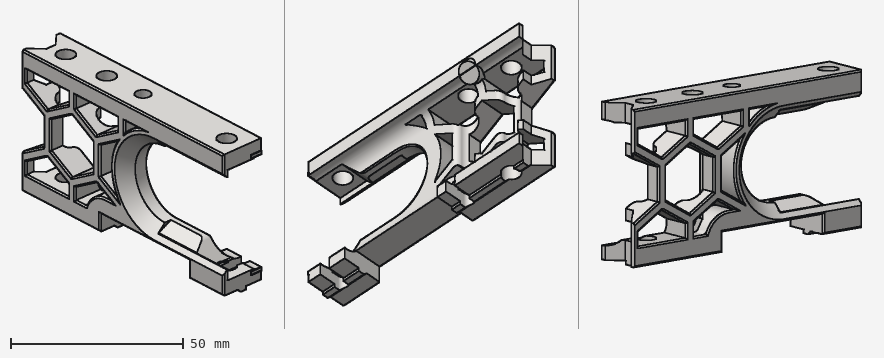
import cadquery as cq
import math

length = 85.7
depth = 15.0
top_z = 48.0
rail_height = 1.1
base_z = rail_height
front_chamfer = 0.5

web_depth = 9.0
upper_bar_z = 42.7
lower_bar_z = 5.3
bar_fillet = 5.0

gap_start_x = 33.2
gap_end_x = 71.0
gap_top_z = 7.1

arch_x = 56.25
arch_z = 24.7
arch_radius = 12.6
arch_front_radius = 16.85
arch_rim_radius = 18.6
arch_flare = arch_front_radius - arch_radius
wall_ledge = 15.3
wall_depth = 1.8
ramp_start = 15.1
ramp_end_y = 6.6
back_chamfer = 0.4

lip_end_x = 68.8
lip_round = 2.9
clearance_bottom_z = 5.8
clearance_top_z = 42.3

hex_pitch = 21.0
hex_apothem = 8.95
hex_z = 24.6
window_bottom_z = 7.2
window_top_z = 42.05
window_left_x = 1.4
boss_x = 35.4
boss_z = 4.4
boss_radius = 8.7
boss_fillet = 1.7

center_y = depth / 2
notch_depth = 4.1
notch_half_width = 1.8
bore_x = 10.5
screw_xs = (27.95, 79.1)
bore_radius = 3.0
bore_round = 2.0
slot_radius = 1.8
pin_x = 43.1
pin_y = 7.8
pin_radius = 2.5
pin_depth = 4.3

rail_front_y = 5.85

stud_x = hex_pitch
stud_y = 14.4
stud_z = 42.2
stud_tip_radius = 3.4
stud_base_radius = 3.95
stud_length = 3.9

rib_thickness = 0.3
rib_height = 1.2
rib_front_y = 10.8


def box(x0, x1, y0, y1, z0, z1):
    """Box between two opposite corners."""
    return cq.Workplane("XY").box(x1 - x0, y1 - y0, z1 - z0, centered=False).translate((x0, y0, z0))


def front_plane(x, y, z):
    """Plane facing the front: local x is X, local y is Z, extrusion runs towards -Y."""
    return cq.Workplane("XZ", origin=(x, y, z))


def upright_cylinder(x, y, radius, z0, z1):
    return cq.Workplane("XY", origin=(x, y, z0)).circle(radius).extrude(z1 - z0)


def make_body():
    """Bars and web, limited to the front outline with its chamfered front edges."""
    section = (
        cq.Workplane("YZ")
        .moveTo(0, base_z)
        .lineTo(depth, base_z)
        .lineTo(depth, lower_bar_z)
        .lineTo(web_depth + bar_fillet, lower_bar_z)
        .radiusArc((web_depth, lower_bar_z + bar_fillet), bar_fillet)
        .lineTo(web_depth, upper_bar_z - bar_fillet)
        .radiusArc((web_depth + bar_fillet, upper_bar_z), bar_fillet)
        .lineTo(depth, upper_bar_z)
        .lineTo(depth, top_z)
        .lineTo(0, top_z)
        .close()
        .extrude(length)
    )
    outline = box(0, length, 0, depth, base_z, top_z)
    outline = outline.cut(box(gap_start_x, gap_end_x, 0, depth, base_z, gap_top_z))
    outline = outline.faces("<Y").edges("not(<X)").chamfer(front_chamfer)
    return section.intersect(outline)


def make_channel():
    """Arched channel: flared at the front, then straight, with a chamfer at the back of the web."""
    channel = front_plane(arch_x, depth, arch_z).circle(arch_radius).extrude(depth)
    cone = cq.Solid.makeCone(
        arch_front_radius, arch_radius, arch_flare, cq.Vector(arch_x, 0, arch_z), cq.Vector(0, 1, 0)
    )
    back_cone = cq.Solid.makeCone(
        arch_radius,
        arch_radius + back_chamfer,
        back_chamfer,
        cq.Vector(arch_x, web_depth - back_chamfer, arch_z),
        cq.Vector(0, 1, 0),
    )
    half_profile = [
        (0, arch_front_radius),
        (arch_front_radius - wall_ledge, wall_ledge),
        (wall_depth, wall_ledge),
        (wall_depth, ramp_start),
        (ramp_end_y, arch_radius),
        (web_depth - back_chamfer, arch_radius),
        (web_depth, arch_radius + back_chamfer),
        (depth, arch_radius + back_chamfer),
    ]
    mirrored_profile = [(y, -z) for y, z in reversed(half_profile)]
    straight = (
        cq.Workplane("YZ", origin=(arch_x, 0, arch_z))
        .polyline(half_profile + mirrored_profile)
        .close()
        .extrude(length - arch_x)
    )
    return channel.union(cq.Workplane(cone)).union(cq.Workplane(back_cone)).union(straight)


def make_arm_clearance(side, floor_z):
    """Space behind the front wall of one arm; side is -1 for the lower and 1 for the upper arm."""
    lip_z = arch_z + side * arch_radius
    round_end_x = lip_end_x + lip_round * math.sin(math.pi / 4)
    round_end_z = lip_z + side * lip_round * (1 - math.cos(math.pi / 4))
    floor_x = round_end_x + abs(floor_z - round_end_z)
    return (
        front_plane(0, depth, 0)
        .moveTo(lip_end_x, arch_z)
        .lineTo(lip_end_x, lip_z)
        .radiusArc((round_end_x, round_end_z), -side * lip_round)
        .lineTo(floor_x, floor_z)
        .lineTo(length, floor_z)
        .lineTo(length, arch_z)
        .close()
        .extrude(depth - wall_depth)
    )


def flare_front(outline, thickness):
    """Extrude a centred outline through the part and widen it at the front as a chamfer."""
    through = outline(0).extrude(thickness)
    mouth = outline(thickness - front_chamfer).extrude(front_chamfer, taper=-45)
    return through.union(mouth)


def make_hexagon(x, z):
    """Hexagonal window, pointed at its top and bottom, widened at the front."""
    circumradius = hex_apothem / math.cos(math.pi / 6)
    corners = [
        (circumradius * math.sin(k * math.pi / 3), circumradius * math.cos(k * math.pi / 3))
        for k in range(6)
    ]

    def outline(offset):
        return front_plane(x, depth - offset, z).polyline(corners).close()

    return flare_front(outline, depth)


def make_window_limit():
    """Rectangle that limits the upper and lower rows of windows."""
    height = window_top_z - window_bottom_z
    width = arch_x
    middle_x = window_left_x + width / 2
    middle_z = window_bottom_z + height / 2

    def outline(offset):
        return front_plane(middle_x, depth - offset, middle_z).rect(width, height)

    return flare_front(outline, depth)


def make_boss_fillet():
    """Fillet between the window floor and the boss, set back behind the front chamfer."""
    fillet_z = window_bottom_z + boss_fillet
    reach = boss_radius + boss_fillet
    fillet_x = boss_x - math.sqrt(reach**2 - (fillet_z - boss_z) ** 2)
    tangent_z = boss_z + (fillet_z - boss_z) * boss_radius / reach
    corner = box(fillet_x, boss_x, front_chamfer, depth, window_bottom_z, tangent_z)
    hollow = front_plane(fillet_x, depth, fillet_z).circle(boss_fillet).extrude(depth)
    return corner.cut(hollow)


def make_windows():
    """Honeycomb windows, kept clear of the arch rim and of the boss at the gap corner."""
    row_step = hex_pitch * math.sin(math.pi / 3)
    middle_row = [(k * hex_pitch, hex_z) for k in range(3)]
    upper_row = [((k + 0.5) * hex_pitch, hex_z + row_step) for k in range(3)]
    lower_row = [((k + 0.5) * hex_pitch, hex_z - row_step) for k in range(2)]

    windows = cq.Workplane()
    for x, z in upper_row + lower_row:
        windows = windows.add(make_hexagon(x, z).intersect(make_window_limit()))
    for x, z in middle_row:
        windows = windows.add(make_hexagon(x, z))
    windows = windows.combine()

    rim = front_plane(arch_x, depth, arch_z).circle(arch_rim_radius).extrude(depth)
    boss = front_plane(boss_x, depth, boss_z).circle(boss_radius).extrude(depth)
    boss = boss.union(box(boss_x, arch_x, 0, depth, boss_z, boss_z + boss_radius))
    for keep in (rim, boss):
        windows = windows.cut(keep.faces("<Y").chamfer(front_chamfer))
    return windows.cut(make_boss_fillet())


def make_end_notch():
    """V-shaped notch with a flat bottom, running down the whole left end."""
    mouth = notch_half_width + notch_depth
    return (
        cq.Workplane("XY", origin=(0, center_y, 0))
        .moveTo(0, -mouth)
        .lineTo(notch_depth, -notch_half_width)
        .lineTo(notch_depth, notch_half_width)
        .lineTo(0, mouth)
        .close()
        .extrude(top_z)
    )


def make_rail(x0, x1):
    """Rail under the lower bar with a slanted front side."""
    return (
        cq.Workplane("YZ", origin=(x0, 0, 0))
        .moveTo(rail_front_y, base_z)
        .lineTo(rail_front_y + rail_height, 0)
        .lineTo(web_depth, 0)
        .lineTo(web_depth, base_z)
        .close()
        .extrude(x1 - x0)
    )


def make_screw_cut(x):
    """Access bore from the top and a clearance slot, open to the back, through the lower bar."""
    bore = upright_cylinder(x, center_y, bore_radius, lower_bar_z, top_z)
    slot = upright_cylinder(x, center_y, slot_radius, 0, lower_bar_z + bar_fillet)
    opening = box(x - slot_radius, x + slot_radius, center_y, depth, 0, lower_bar_z + bar_fillet)
    return bore.union(slot).union(opening)


def make_bore_flare(x):
    """Rounded mouth that leads from the back of the web into a bore."""
    reach = bore_radius + bore_round
    round_y = web_depth - bore_round
    round_dx = math.sqrt(reach**2 - (round_y - center_y) ** 2)
    z0 = lower_bar_z + bar_fillet
    z1 = upper_bar_z - bar_fillet
    tangent_y = center_y + (round_y - center_y) * bore_radius / reach
    mouth = box(x - round_dx, x + round_dx, tangent_y, web_depth, z0, z1)
    for side in (-1, 1):
        mouth = mouth.cut(upright_cylinder(x + side * round_dx, round_y, bore_round, z0, z1))
    return mouth


def make_stud():
    """Slightly tapered round boss at 45 degrees, pointing down and back out of the upper bar."""
    tip = cq.Vector(stud_x, stud_y, stud_z)
    inward = cq.Vector(0, -1, 1)
    return cq.Workplane(cq.Solid.makeCone(stud_tip_radius, stud_base_radius, stud_length, tip, inward))


def make_end_rib(z):
    return box(length, length + rib_thickness, rib_front_y, depth, z, z + rib_height)


result = make_body()
result = result.union(make_rail(0, gap_start_x))
result = result.union(make_rail(gap_end_x, length))
result = result.cut(make_windows())
result = result.cut(make_channel())
result = result.cut(make_arm_clearance(-1, clearance_bottom_z))
result = result.cut(make_arm_clearance(1, clearance_top_z))
result = result.union(make_stud())
result = result.cut(make_end_notch())
result = result.cut(upright_cylinder(bore_x, center_y, bore_radius, 0, top_z))
for flare_x in (bore_x, screw_xs[0]):
    result = result.cut(make_bore_flare(flare_x))
for screw_x in screw_xs:
    result = result.cut(make_screw_cut(screw_x))
result = result.cut(upright_cylinder(pin_x, pin_y, pin_radius, top_z - pin_depth, top_z))
result = result.union(make_end_rib(lower_bar_z - rib_height))
result = result.union(make_end_rib(upper_bar_z))